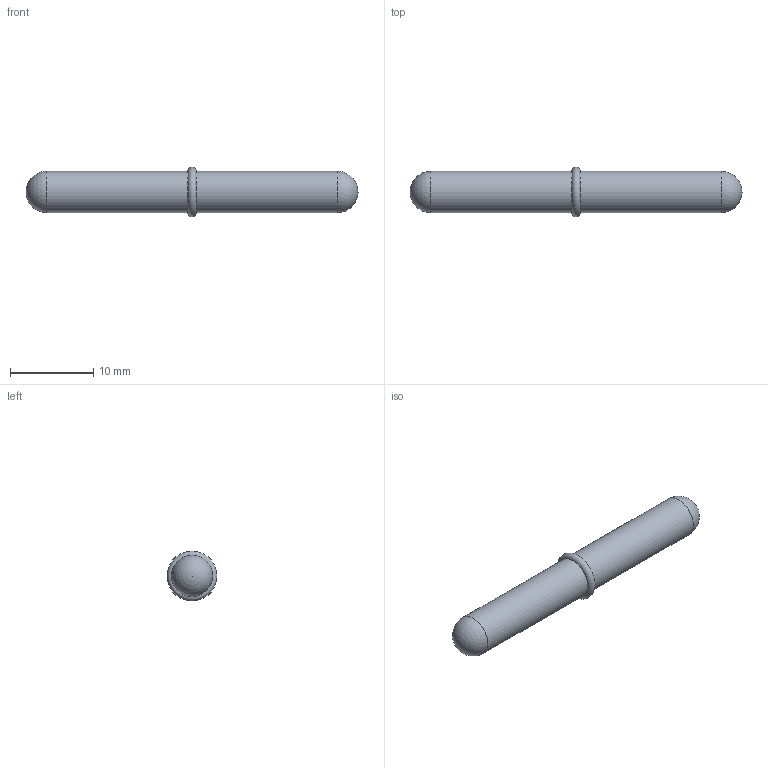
import cadquery as cq

total_length = 40.0
rod_diameter = 5.0
ring_diameter = 6.0
ring_width = 1.0

rod_radius = rod_diameter / 2
ring_radius = ring_diameter / 2
half_length = total_length / 2
dome_start = half_length - rod_radius
half_ring = ring_width / 2
dome_mid = rod_radius * 2 ** -0.5


def make_rod():
    """Rod along X with a hemispherical dome on each end."""
    half_profile = (
        cq.Workplane("XZ")
        .moveTo(-half_length, 0)
        .threePointArc((-dome_start - dome_mid, dome_mid), (-dome_start, rod_radius))
        .lineTo(dome_start, rod_radius)
        .threePointArc((dome_start + dome_mid, dome_mid), (half_length, 0))
        .close()
    )
    return half_profile.revolve(360, (0, 0, 0), (1, 0, 0))


def make_ring():
    """Central raised ring whose outer surface is a half-round in section."""
    half_profile = (
        cq.Workplane("XZ")
        .moveTo(-half_ring, 0)
        .lineTo(-half_ring, ring_radius - half_ring)
        .threePointArc((0, ring_radius), (half_ring, ring_radius - half_ring))
        .lineTo(half_ring, 0)
        .close()
    )
    return half_profile.revolve(360, (0, 0, 0), (1, 0, 0))


result = make_rod().union(make_ring())